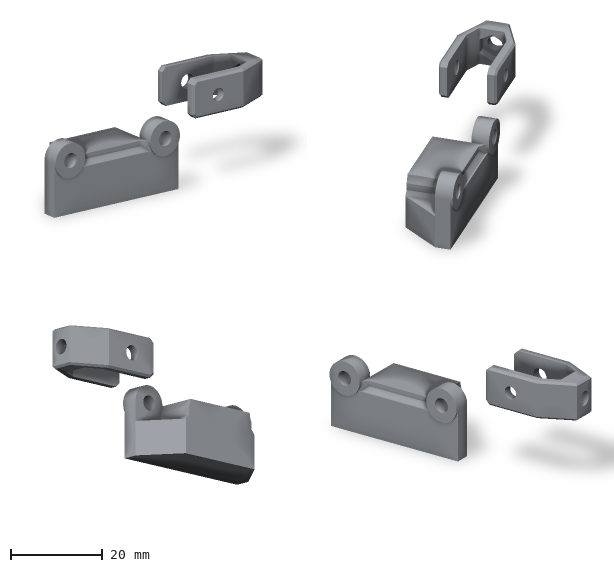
import cadquery as cq
import math


total_length = 61.25
total_height = 23.15
clearance_diameter = 3.4
tapped_diameter = 3.0

housing_left = 3.05
housing_width = 12.5
housing_top = 12.5
housing_right = housing_left + housing_width
lug_diameter = 8.0
lug_radius = lug_diameter / 2
lug_thickness = 4.05
lug_left = 12.0
lug_spacing = 25.8
housing_length = lug_spacing + lug_diameter
housing_middle = housing_length / 2

relief_wall = 3.5
relief_slope_top = 3.7
relief_slope_end = 2.6
relief_depth = 4.7

recess_left = 14.1
recess_ledge = 15.2
recess_inset = 1.2
recess_wall = 1.2
recess_flare = 1.2
recess_depth = recess_wall + recess_ledge - recess_left

fork_width = 13.35
fork_height = 8.95
fork_length = 21.85
fork_middle = fork_width / 2
fork_bottom = total_height - fork_height
fork_axis = fork_bottom + fork_height / 2
fork_front = total_length - fork_length
shoulder_length = 8.1
shoulder_y = total_length - shoulder_length
back_width = 5.45
back_thickness = 4.3
slot_width = 9.2
slot_back_width = 5.7
slot_shoulder_offset = 0.1
slot_shoulder_y = shoulder_y + slot_shoulder_offset
slot_back_y = total_length - back_thickness
edge_chamfer = 0.5
tip_chamfer = 1.0
cross_hole_setback = 15.0
cross_hole_y = total_length - cross_hole_setback
nut_sides = 6
nut_flats = 5.65
nut_depth = 2.1
nut_turn = 180 / nut_sides


def x_cylinder(diameter, x_start, length, y, z):
    """Cylinder along +X."""
    return (
        cq.Workplane("YZ", origin=(x_start, y, z))
        .circle(diameter / 2)
        .extrude(length)
    )


def lug_relief():
    """Stepped space beside the front lug, left of its face."""
    axis_y = lug_radius
    axis_z = housing_top
    arc_drop = math.sqrt(lug_radius**2 - relief_wall**2)
    half_angle = math.asin(arc_drop / lug_radius) / 2
    arc_middle = (
        axis_y + lug_radius * math.cos(half_angle),
        axis_z - lug_radius * math.sin(half_angle),
    )
    return (
        cq.Workplane("YZ", origin=(housing_left, 0, 0))
        .moveTo(0, axis_z)
        .lineTo(0, axis_z - relief_depth)
        .lineTo(axis_y + relief_slope_end, axis_z - relief_depth)
        .lineTo(axis_y + relief_wall, axis_z - relief_slope_top)
        .lineTo(axis_y + relief_wall, axis_z - arc_drop)
        .threePointArc(arc_middle, (axis_y + lug_radius, axis_z))
        .close()
        .extrude(lug_left - housing_left)
    )


def edge_recess():
    """Flared recess: an upright wall, then a 45 degree floor ending in a narrow ledge."""
    inner_y = lug_diameter + recess_inset
    outer_y = inner_y - recess_flare * (housing_right - recess_left)
    plan = (
        cq.Workplane("XY", origin=(0, 0, housing_top - recess_depth))
        .polyline([
            (recess_left, inner_y),
            (housing_right, outer_y),
            (housing_right, housing_length - outer_y),
            (recess_left, housing_length - inner_y),
        ])
        .close()
        .extrude(recess_depth)
    )
    floor_z = housing_top - recess_depth
    section = (
        cq.Workplane("XZ")
        .polyline([
            (recess_left, housing_top),
            (recess_left, housing_top - recess_wall),
            (recess_ledge, floor_z),
            (housing_right, floor_z),
            (housing_right, housing_top),
        ])
        .close()
        .extrude(-housing_length)
    )
    return plan.intersect(section)


def make_housing():
    side_y = lug_radius + relief_slope_end
    body = (
        cq.Workplane("XY")
        .polyline([
            (housing_left, side_y),
            (lug_left, 0),
            (housing_right, 0),
            (housing_right, housing_length),
            (lug_left, housing_length),
            (housing_left, housing_length - side_y),
        ])
        .close()
        .extrude(housing_top)
    )
    relief = lug_relief()
    body = body.cut(relief)
    body = body.cut(relief.mirror("XZ", (0, housing_middle, 0)))
    body = body.cut(edge_recess())
    for axis_y in (lug_radius, housing_length - lug_radius):
        lug = x_cylinder(lug_diameter, lug_left, lug_thickness, axis_y, housing_top)
        hole = x_cylinder(clearance_diameter, lug_left, lug_thickness, axis_y, housing_top)
        body = body.union(lug).cut(hole)
    return body


def fork_blank():
    """Solid fork shape with bevelled outer edges, before the slot is cut."""
    half_back = back_width / 2
    blank = (
        cq.Workplane("XY", origin=(fork_middle, 0, fork_bottom))
        .polyline([
            (-fork_middle, fork_front),
            (fork_middle, fork_front),
            (fork_middle, shoulder_y),
            (half_back, total_length),
            (-half_back, total_length),
            (-fork_middle, shoulder_y),
        ])
        .close()
        .extrude(fork_height)
        .edges("|X and <Y")
        .chamfer(tip_chamfer)
    )
    rim_edges = blank.faces("<Z or >Z").edges("not <Y").vals()
    tip_edges = blank.faces("<X or >X").edges("not (|Y or >Y)").vals()
    return blank.newObject(rim_edges + tip_edges).chamfer(edge_chamfer)


def fork_slot():
    """Space between the arms, narrowing towards the back."""
    half_slot = slot_width / 2
    half_back = slot_back_width / 2
    return (
        cq.Workplane("XY", origin=(fork_middle, 0, fork_bottom))
        .polyline([
            (-half_slot, fork_front),
            (half_slot, fork_front),
            (half_slot, slot_shoulder_y),
            (half_back, slot_back_y),
            (-half_back, slot_back_y),
            (-half_slot, slot_shoulder_y),
        ])
        .close()
        .extrude(fork_height)
    )


def make_fork():
    fork = fork_blank().cut(fork_slot())

    back_plane = cq.Workplane("XZ", origin=(fork_middle, total_length, fork_axis))
    fork = fork.cut(back_plane.circle(clearance_diameter / 2).extrude(back_thickness))
    nut = (
        cq.Workplane("XZ", origin=(fork_middle, slot_back_y, fork_axis))
        .polygon(nut_sides, nut_flats / math.cos(math.pi / nut_sides))
        .extrude(-nut_depth)
        .rotate((fork_middle, 0, fork_axis), (fork_middle, 1, fork_axis), nut_turn)
    )
    fork = fork.cut(nut)

    left_hole = x_cylinder(clearance_diameter, 0, fork_middle, cross_hole_y, fork_axis)
    right_hole = x_cylinder(tapped_diameter, fork_middle, fork_middle, cross_hole_y, fork_axis)
    return fork.cut(left_hole).cut(right_hole)


housing = make_housing()
fork = make_fork()
result = cq.Compound.makeCompound([housing.val(), fork.val()])